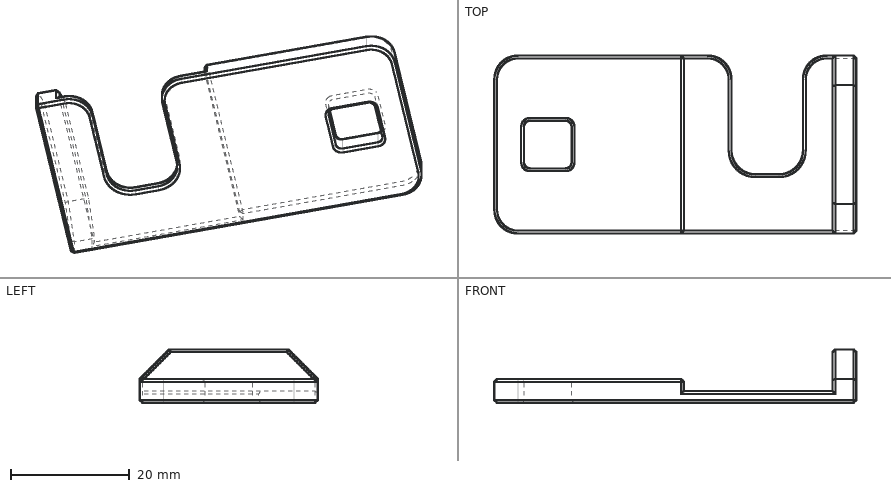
import cadquery as cq

length = 61.0
width = 30.0
height = 9.0

edge_chamfer = 0.5
corner_radius = 4.0

pad_length = 31.95
pad_thickness = 4.0

hole_size = 8.0
hole_center_x = 9.0
hole_corner_radius = 1.0

plate_thickness = 2.0
slot_width = 12.0
slot_center_x = 46.0
slot_floor_y = 10.0

wall_thickness = 4.0
shoulder_height = pad_thickness
shoulder_run = height - shoulder_height


def make_pad():
    """Thick pad with rounded left corners and a chamfered square hole."""
    pad = (
        cq.Workplane("XY")
        .box(pad_length, width, pad_thickness, centered=False)
        .edges("|Z and <X")
        .fillet(corner_radius)
    )
    hole = (
        cq.Workplane("XY")
        .center(hole_center_x, width / 2)
        .rect(hole_size, hole_size)
        .extrude(pad_thickness)
        .edges("|Z")
        .fillet(hole_corner_radius)
    )
    return pad.cut(hole).faces("<Z or >Z or >X").edges().chamfer(edge_chamfer)


def make_plate():
    """Thin plate with an open U slot; its plain ends are buried in the pad and the wall."""
    start_x = pad_length - corner_radius
    end_x = length - wall_thickness / 2
    slot_left = slot_center_x - slot_width / 2
    slot_right = slot_center_x + slot_width / 2
    plate = (
        cq.Workplane("XY")
        .moveTo(start_x, 0)
        .lineTo(end_x, 0)
        .lineTo(end_x, width)
        .lineTo(slot_right, width)
        .lineTo(slot_right, slot_floor_y)
        .lineTo(slot_left, slot_floor_y)
        .lineTo(slot_left, width)
        .lineTo(start_x, width)
        .close()
        .extrude(plate_thickness)
    )
    plate = plate.edges("|Z").edges("not(<X or >X)").fillet(corner_radius)
    return plate.faces("<Z or >Z").edges("not(<X or >X)").chamfer(edge_chamfer)


def make_wall():
    """End wall with 45 degree shoulders, chamfered around both faces and underneath."""
    return (
        cq.Workplane("YZ", origin=(length - wall_thickness, 0, 0))
        .moveTo(0, 0)
        .lineTo(width, 0)
        .lineTo(width, shoulder_height)
        .lineTo(width - shoulder_run, height)
        .lineTo(shoulder_run, height)
        .lineTo(0, shoulder_height)
        .close()
        .extrude(wall_thickness)
        .faces("<X or >X or <Z")
        .edges()
        .chamfer(edge_chamfer)
    )


result = make_pad().union(make_plate()).union(make_wall())